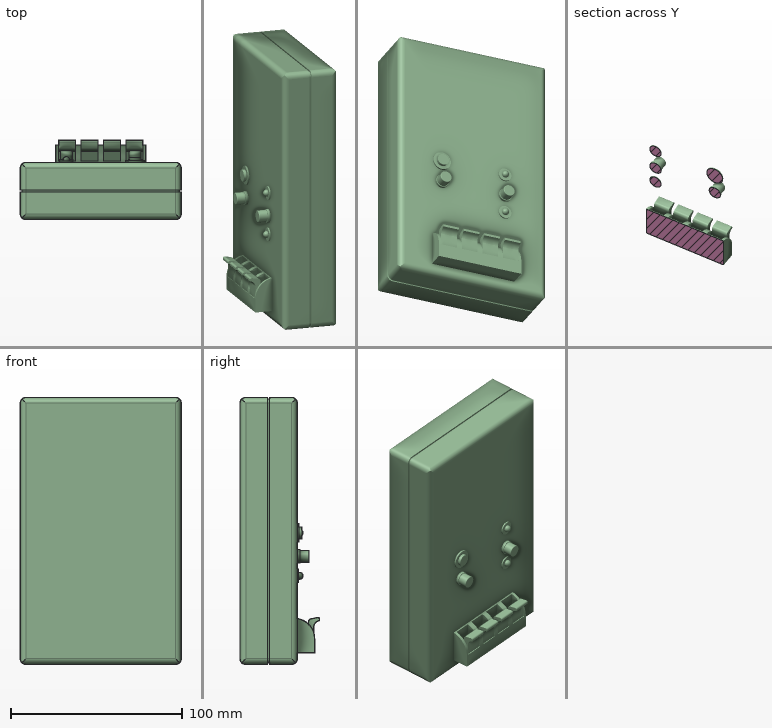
import cadquery as cq
import math

CASE_WIDTH = 94.0
CASE_DEPTH = 33.5
CASE_HEIGHT = 156.0
EDGE_RADIUS = 3.5
GROOVE_WIDTH = 1.1
GROOVE_DEPTH = 1.0

BLOCK_WIDTH = 52.5
BLOCK_DEPTH = 10.1
BLOCK_BOTTOM = 6.9
BLOCK_SHOULDER = 8.1
BLOCK_HEIGHT = 20.1
LEVER_COUNT = 4
LEVER_PITCH = 13.1
LEVER_WIDTH = 10.0
SLOT_BACK = 0.8

LEVER_FRONT = 9.7
LEVER_TIP = 13.0
LEVER_BACK = 6.4
HOOK_START = 15.6
HOOK_UNDERSIDE = (10.5, 17.3)
TIP_BOTTOM = 18.7
TIP_TOP = 19.8
TIP_CROWN = (12.5, 20.5)
HOOK_TOP_FRONT = (11.7, 20.6)
HOOK_TOP_BACK = (7.8, 19.8)
HOOK_SHOULDER = (6.9, 19.2)
STEM_TOP = 17.8

COLUMN_OFFSET = 20.1
UPPER_ROW = 76.9
BUTTON_ROW = 63.2
LOWER_ROW = 51.8
FLANGE_DIAMETER = 8.0
BUTTON_DIAMETER = 7.0
BUTTON_FLANGE = 1.5
BUTTON_LENGTH = 6.9
BUTTON_ROUNDING = 0.3
LAMP_DIAMETER = 4.0
LAMP_FLANGE = 0.8
LAMP_LENGTH = 3.3
SOCKET_FLANGE_DIAMETER = 11.0
SOCKET_DIAMETER = 7.0
SOCKET_FLANGE = 1.0
SOCKET_LENGTH = 2.7

EMBED = 1.5


def case_box():
    return cq.Workplane("XY").box(CASE_WIDTH, CASE_DEPTH, CASE_HEIGHT, centered=(True, False, False))


def make_case():
    """Box rounded along all three axes, so that the rounded edges meet in mitres."""
    case = case_box().edges("|X").fillet(EDGE_RADIUS)
    for direction in ("|Y", "|Z"):
        case = case.intersect(case_box().edges(direction).fillet(EDGE_RADIUS))
    middle = cq.Workplane("XZ", origin=(0, (CASE_DEPTH + GROOVE_WIDTH) / 2, CASE_HEIGHT / 2))
    slab = middle.rect(CASE_WIDTH, CASE_HEIGHT).extrude(GROOVE_WIDTH)
    core = (
        middle.rect(CASE_WIDTH - 2 * GROOVE_DEPTH, CASE_HEIGHT - 2 * GROOVE_DEPTH)
        .extrude(GROOVE_WIDTH)
        .edges("|Y")
        .fillet(EDGE_RADIUS - GROOVE_DEPTH)
    )
    return case.cut(slab.cut(core))


def side_plane(x):
    """Side profile plane: local x is outward from the case back, local y is up from the block bottom."""
    return cq.Workplane("YZ", origin=(x, CASE_DEPTH, BLOCK_BOTTOM))


def make_block():
    """Block with a straight lower front that curves back over the top."""
    radius = BLOCK_HEIGHT - BLOCK_SHOULDER
    arc_centre = BLOCK_DEPTH - radius
    arc_reach = radius * math.sqrt(0.5)
    return (
        side_plane(-BLOCK_WIDTH / 2)
        .moveTo(-EMBED, 0)
        .lineTo(BLOCK_DEPTH, 0)
        .lineTo(BLOCK_DEPTH, BLOCK_SHOULDER)
        .threePointArc((arc_centre + arc_reach, BLOCK_SHOULDER + arc_reach), (arc_centre, BLOCK_HEIGHT))
        .lineTo(-EMBED, BLOCK_HEIGHT)
        .close()
        .extrude(BLOCK_WIDTH)
    )


def make_slot(x):
    """Space for one lever, open at the front and top of the block."""
    return (
        side_plane(x - LEVER_WIDTH / 2)
        .moveTo(SLOT_BACK, BLOCK_SHOULDER)
        .lineTo(BLOCK_DEPTH, BLOCK_SHOULDER)
        .lineTo(BLOCK_DEPTH, BLOCK_HEIGHT)
        .lineTo(SLOT_BACK, BLOCK_HEIGHT)
        .close()
        .extrude(LEVER_WIDTH)
    )


def make_lever(x):
    """Upright stem standing on the slot floor, with a finger hook curving outward at the top."""
    return (
        side_plane(x - LEVER_WIDTH / 2)
        .moveTo(LEVER_BACK, BLOCK_SHOULDER)
        .lineTo(LEVER_FRONT, BLOCK_SHOULDER)
        .lineTo(LEVER_FRONT, HOOK_START)
        .threePointArc(HOOK_UNDERSIDE, (LEVER_TIP, TIP_BOTTOM))
        .lineTo(LEVER_TIP, TIP_TOP)
        .threePointArc(TIP_CROWN, HOOK_TOP_FRONT)
        .lineTo(*HOOK_TOP_BACK)
        .threePointArc(HOOK_SHOULDER, (LEVER_BACK, STEM_TOP))
        .close()
        .extrude(LEVER_WIDTH)
    )


def disc(x, z, diameter, length):
    """Round boss standing out of the case back by the given length."""
    base = cq.Workplane("ZX", origin=(x, CASE_DEPTH - EMBED, z))
    return base.circle(diameter / 2).extrude(length + EMBED)


def make_lamp(x, z):
    dome_radius = LAMP_DIAMETER / 2
    dome = cq.Workplane("XY").sphere(dome_radius).translate((x, CASE_DEPTH + LAMP_LENGTH - dome_radius, z))
    return disc(x, z, FLANGE_DIAMETER, LAMP_FLANGE).union(dome)


def make_button(x, z):
    cap = disc(x, z, BUTTON_DIAMETER, BUTTON_LENGTH).faces(">Y").edges().fillet(BUTTON_ROUNDING)
    return disc(x, z, FLANGE_DIAMETER, BUTTON_FLANGE).union(cap)


def make_socket(x, z):
    flange = disc(x, z, SOCKET_FLANGE_DIAMETER, SOCKET_FLANGE)
    return flange.union(disc(x, z, SOCKET_DIAMETER, SOCKET_LENGTH))


result = make_case().union(make_block())
for index in range(LEVER_COUNT):
    lever_x = (index - (LEVER_COUNT - 1) / 2) * LEVER_PITCH
    result = result.cut(make_slot(lever_x)).union(make_lever(lever_x))

result = result.union(make_lamp(-COLUMN_OFFSET, UPPER_ROW))
result = result.union(make_socket(COLUMN_OFFSET, UPPER_ROW))
for column_x in (-COLUMN_OFFSET, COLUMN_OFFSET):
    result = result.union(make_button(column_x, BUTTON_ROW))
result = result.union(make_lamp(-COLUMN_OFFSET, LOWER_ROW))